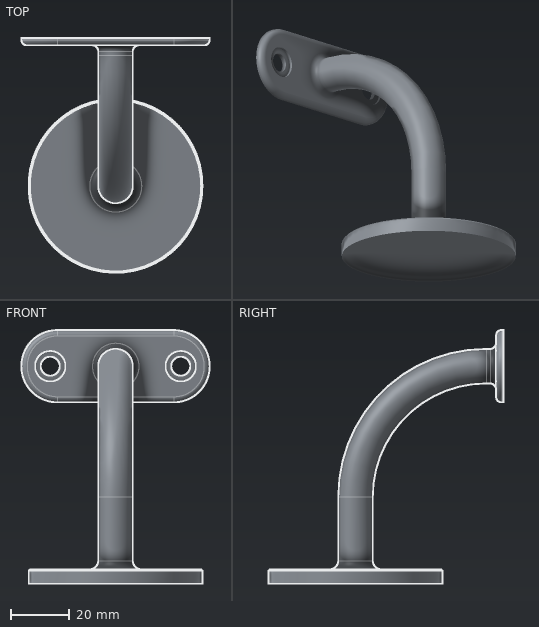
import cadquery as cq
import math

disc_diameter = 60.0
disc_thickness = 5.0
disc_edge_chamfer = 0.5
disc_fillet = 3.0

arm_diameter = 12.0
bend_radius = 45.0
stub_length = 6.0

plate_length = 65.0
plate_height = 25.0
plate_thickness = 2.6
plate_edge_fillet = 2.0
plate_fillet = 2.0

hole_spacing = 45.0
hole_diameter = 6.5
counterbore_diameter = 10.5
counterbore_depth = 1.0

overall_height = 87.5

plate_center_z = overall_height - plate_height / 2
post_top_z = plate_center_z - bend_radius
wall_y = bend_radius + stub_length
plate_face_y = wall_y - plate_thickness
arm_radius = arm_diameter / 2


def make_disc():
    disc = cq.Workplane("XY").circle(disc_diameter / 2).extrude(disc_thickness)
    return disc.faces(">Z").edges().chamfer(disc_edge_chamfer)


def make_plate():
    wall_plane = cq.Workplane("XZ", origin=(0, wall_y, plate_center_z))
    plate = wall_plane.slot2D(plate_length, plate_height).extrude(plate_thickness)
    plate = plate.faces("<Y").edges().fillet(plate_edge_fillet)
    return (
        plate.faces("<Y")
        .workplane(origin=(0, 0, plate_center_z))
        .pushPoints([(-hole_spacing / 2, 0), (hole_spacing / 2, 0)])
        .cboreHole(hole_diameter, counterbore_diameter, counterbore_depth)
    )


def make_arm():
    post_length = post_top_z - disc_thickness
    post = cq.Workplane("XY", origin=(0, 0, disc_thickness)).circle(arm_radius).extrude(post_length)
    bend = (
        cq.Workplane("XY", origin=(0, 0, post_top_z))
        .circle(arm_radius)
        .revolve(90, (0, bend_radius, 0), (-1, bend_radius, 0))
    )
    stub = (
        cq.Workplane("XZ", origin=(0, plate_face_y, plate_center_z))
        .circle(arm_radius)
        .extrude(plate_face_y - bend_radius)
    )
    return post.union(bend).union(stub)


def make_flare(profile_normal, origin, radius):
    """Concave fillet ring around the arm, rising from the given face."""
    outer_radius = arm_radius + radius
    arc_middle_offset = radius * (1 - math.cos(math.radians(45)))
    return (
        cq.Workplane(cq.Plane(origin=origin, xDir=(1, 0, 0), normal=profile_normal))
        .lineTo(outer_radius, 0)
        .threePointArc((arm_radius + arc_middle_offset, arc_middle_offset), (arm_radius, radius))
        .lineTo(0, radius)
        .close()
        .revolve(360, (0, 0, 0), (0, 1, 0))
    )


disc_flare = make_flare((0, -1, 0), (0, 0, disc_thickness), disc_fillet)
plate_flare = make_flare((0, 0, -1), (0, plate_face_y, plate_center_z), plate_fillet)

result = make_disc().union(make_arm()).union(make_plate()).union(disc_flare).union(plate_flare)